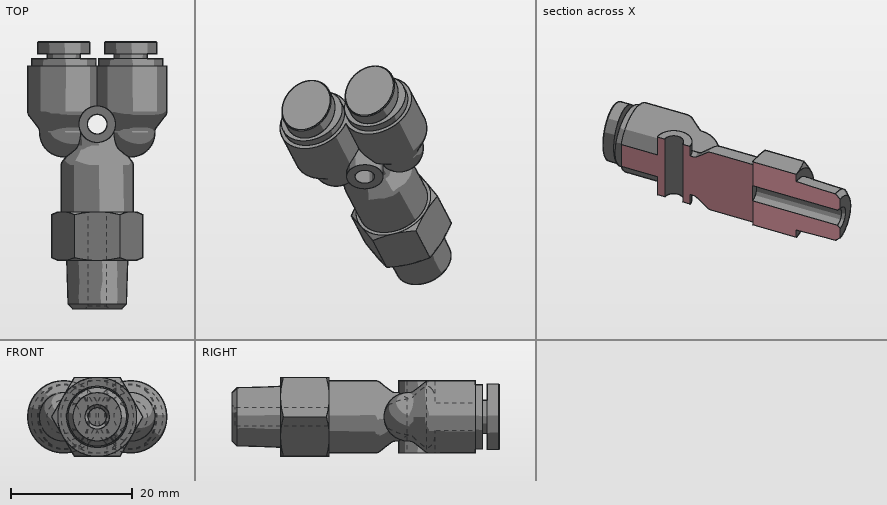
import cadquery as cq
import math


THREAD_LENGTH = 8.0
THREAD_ROOT_RADIUS = 5.04
THREAD_TAPER = 1 / 32
TIP_CHAMFER = 0.85
HEX_ACROSS_FLATS = 13.0
HEX_LENGTH = 8.0
HEX_CHAMFER_ANGLE = 25.0
STUD_LENGTH = THREAD_LENGTH + HEX_LENGTH
STUD_BORE_DIAMETER = 3.0
BORE_MOUTH_DIAMETER = 4.0
BORE_MOUTH_DEPTH = 0.5

BARREL_RADIUS = 11.9 / 2
NECK_RADIUS = 4.0
SHOULDER_LENGTH = 2.5
SHOULDER_BLEND = 1.0
STEM_SHOULDER_Y = 24.0
DOME_CENTER_Y = 29.0
PORT_NECK_END_Y = 29.58
PORT_END_Y = 40.0
PORT_OFFSET = 5.5

EYELET_Y = 30.4
EYELET_DIAMETER = 6.0
EYELET_HOLE_DIAMETER = 3.2

RING_DIAMETER = 10.6
RING_THICKNESS = 1.2

BUTTON_NECK_DIAMETER = 5.5
BUTTON_NECK_LENGTH = 0.75
BUTTON_TOP_Y = 44.0
BUTTON_WIDTH_X = 8.6
BUTTON_WIDTH_Z = 10.8
BUTTON_EDGE_CHAMFER = 0.15

SELECTION_MARGIN = 0.1

RING_END_Y = PORT_END_Y + RING_THICKNESS
BUTTON_HEAD_Y = RING_END_Y + BUTTON_NECK_LENGTH


def plane_at(y, x=0.0):
    """Sketch plane facing +Y, with local x along X and local y along -Z."""
    return cq.Workplane("XZ", origin=(x, y, 0)).transformed(rotate=(180, 0, 0))


def revolve_about_y(profile):
    """Closed (radius, y) profile turned into a solid of revolution about Y."""
    return profile.close().revolve(360, (0, 0, 0), (0, 1, 0))


def blend_shoulder(body, shoulder_ys):
    """Round the two circular edges of a cone between neck and barrel."""
    reach = 2 * BARREL_RADIUS
    shoulder_box = cq.selectors.BoxSelector(
        (-reach, min(shoulder_ys) - SELECTION_MARGIN, -reach),
        (reach, max(shoulder_ys) + SELECTION_MARGIN, reach),
    )
    return body.edges("%CIRCLE").edges(shoulder_box).fillet(SHOULDER_BLEND)


def make_stud():
    tip_radius = THREAD_ROOT_RADIUS - THREAD_LENGTH * THREAD_TAPER
    chamfer_radius = tip_radius + TIP_CHAMFER * THREAD_TAPER
    thread = revolve_about_y(
        cq.Workplane("XY")
        .lineTo(chamfer_radius - TIP_CHAMFER, 0)
        .lineTo(chamfer_radius, TIP_CHAMFER)
        .lineTo(THREAD_ROOT_RADIUS, THREAD_LENGTH)
        .lineTo(0, THREAD_LENGTH)
    )

    flat_radius = HEX_ACROSS_FLATS / 2
    corner_radius = flat_radius / math.cos(math.radians(30))
    corner_drop = (corner_radius - flat_radius) * math.tan(math.radians(HEX_CHAMFER_ANGLE))
    hexagon = plane_at(THREAD_LENGTH).polygon(6, 2 * corner_radius).extrude(HEX_LENGTH)
    corner_trim = revolve_about_y(
        cq.Workplane("XY")
        .moveTo(0, THREAD_LENGTH)
        .lineTo(flat_radius, THREAD_LENGTH)
        .lineTo(corner_radius, THREAD_LENGTH + corner_drop)
        .lineTo(corner_radius, STUD_LENGTH - corner_drop)
        .lineTo(flat_radius, STUD_LENGTH)
        .lineTo(0, STUD_LENGTH)
    )

    bore = revolve_about_y(
        cq.Workplane("XY")
        .lineTo(BORE_MOUTH_DIAMETER / 2, 0)
        .lineTo(STUD_BORE_DIAMETER / 2, BORE_MOUTH_DEPTH)
        .lineTo(STUD_BORE_DIAMETER / 2, STUD_LENGTH)
        .lineTo(0, STUD_LENGTH)
    )
    return thread.union(hexagon.intersect(corner_trim)).cut(bore)


def make_stem():
    neck_y = STEM_SHOULDER_Y + SHOULDER_LENGTH
    stem = revolve_about_y(
        cq.Workplane("XY")
        .moveTo(0, STUD_LENGTH)
        .lineTo(BARREL_RADIUS, STUD_LENGTH)
        .lineTo(BARREL_RADIUS, STEM_SHOULDER_Y)
        .lineTo(NECK_RADIUS, neck_y)
        .lineTo(NECK_RADIUS, EYELET_Y)
        .lineTo(0, EYELET_Y)
    )
    return blend_shoulder(stem, (STEM_SHOULDER_Y, neck_y))


def make_port():
    """Tube port on the Y axis, closed by a half-sphere at its lower end."""
    barrel_y = PORT_NECK_END_Y + SHOULDER_LENGTH
    diagonal = NECK_RADIUS * math.sqrt(0.5)
    port = revolve_about_y(
        cq.Workplane("XY")
        .moveTo(0, DOME_CENTER_Y - NECK_RADIUS)
        .threePointArc((diagonal, DOME_CENTER_Y - diagonal), (NECK_RADIUS, DOME_CENTER_Y))
        .lineTo(NECK_RADIUS, PORT_NECK_END_Y)
        .lineTo(BARREL_RADIUS, barrel_y)
        .lineTo(BARREL_RADIUS, PORT_END_Y)
        .lineTo(0, PORT_END_Y)
    )
    return blend_shoulder(port, (PORT_NECK_END_Y, barrel_y))


def eyelet_cylinder(diameter):
    eyelet_plane = cq.Workplane("XY", origin=(0, EYELET_Y, 0))
    return eyelet_plane.circle(diameter / 2).extrude(BARREL_RADIUS, both=True)


def make_housing():
    port = make_port()
    housing = make_stem()
    for side in (-1, 1):
        housing = housing.union(port.translate((side * PORT_OFFSET, 0, 0)))
    housing = housing.union(eyelet_cylinder(EYELET_DIAMETER))
    return housing.cut(eyelet_cylinder(EYELET_HOLE_DIAMETER))


def make_guide_ring(x):
    return plane_at(PORT_END_Y, x).circle(RING_DIAMETER / 2).extrude(RING_THICKNESS)


def make_release_button(x):
    """Oval head on a round neck that stands on the guide ring."""
    neck = plane_at(RING_END_Y, x).circle(BUTTON_NECK_DIAMETER / 2).extrude(BUTTON_NECK_LENGTH)
    head = (
        plane_at(BUTTON_HEAD_Y, x)
        .ellipse(BUTTON_WIDTH_X / 2, BUTTON_WIDTH_Z / 2)
        .extrude(BUTTON_TOP_Y - BUTTON_HEAD_Y)
        .faces(">Y")
        .chamfer(BUTTON_EDGE_CHAMFER)
    )
    return neck.union(head)


stud = make_stud()
housing = make_housing()
port_axes = (-PORT_OFFSET, PORT_OFFSET)
guide_rings = [make_guide_ring(x) for x in port_axes]
release_buttons = [make_release_button(x) for x in port_axes]

result = cq.Compound.makeCompound(
    [stud.val(), housing.val()]
    + [ring.val() for ring in guide_rings]
    + [button.val() for button in release_buttons]
)